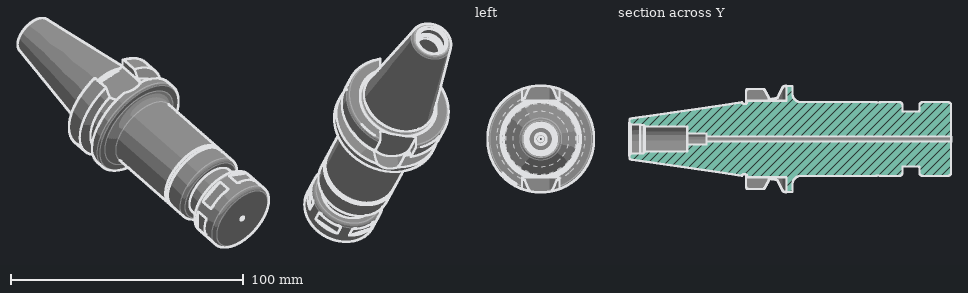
import cadquery as cq
import math

length = 138.4

taper_end_x = 48.5
taper_end_radius = 15.9
taper_slope = 7 / 48
tip_rounding = 1.1
undercut_radius = 15.2
undercut_fillet = 1.0

flange_front_x = 50.1
flange_back_x = 70.3
flange_radius = 23.0
flange_rim_rounding = 0.8
flange_front_rounding = 1.1
face_recess_radius = 17.3
face_recess_depth = 0.5
face_recess_wall_run = 0.4
groove_front_x = 58.0
groove_floor_front_x = 60.3
groove_floor_back_x = 63.7
groove_back_x = 66.0
groove_radius = 19.0
key_slot_width = 16.0
key_slot_floor = 16.5
key_slot_end_x = 67.4

body_diameter = 32.0
body_radius = body_diameter / 2
body_blend = 3.3
body_end_x = 117.5
body_end_rounding = 1.5
ring_front_x = 106.2
ring_back_x = 107.7
ring_depth = 0.3
neck_diameter = 24.0
neck_radius = neck_diameter / 2

nut_front_x = 124.5
nut_radius = body_radius
nut_rounding = 1.5
flat_count = 6
flat_front_x = 126.8
flat_back_x = 132.2
flat_distance = 15.0

bore_mouth_diameter = 14.0
bore_mouth_radius = bore_mouth_diameter / 2
bore_mouth_depth = 0.7
pilot_diameter = 12.5
pilot_radius = pilot_diameter / 2
pilot_depth = 4.7
thread_entry_diameter = 12.0
thread_entry_radius = thread_entry_diameter / 2
thread_entry_depth = 6.1
thread_diameter = 10.5
thread_radius = thread_diameter / 2
thread_depth = 24.9
socket_mouth_diameter = 5.0
socket_mouth_radius = socket_mouth_diameter / 2
socket_diameter = 4.5
socket_radius = socket_diameter / 2
socket_depth = 33.2
coolant_diameter = 2.0
coolant_radius = coolant_diameter / 2


def turned_body():
    """Revolve the whole outside profile about the X axis."""
    sharp_tip_radius = taper_end_radius - taper_slope * taper_end_x
    taper_angle = math.atan(taper_slope)
    tip_setback = tip_rounding * math.tan((math.pi / 2 - taper_angle) / 2)
    taper_start_x = tip_setback * math.cos(taper_angle)
    taper_start_radius = sharp_tip_radius + taper_slope * taper_start_x
    recess_floor_x = flange_front_x + face_recess_depth
    profile = (
        cq.Workplane("XY")
        .moveTo(0, 0)
        .lineTo(0, sharp_tip_radius - tip_setback)
        .radiusArc((taper_start_x, taper_start_radius), tip_rounding)
        .lineTo(taper_end_x, taper_end_radius)
        .lineTo(taper_end_x + taper_end_radius - undercut_radius, undercut_radius)
        .lineTo(recess_floor_x - undercut_fillet, undercut_radius)
        .radiusArc((recess_floor_x, undercut_radius + undercut_fillet), -undercut_fillet)
        .lineTo(recess_floor_x, face_recess_radius - face_recess_wall_run)
        .lineTo(flange_front_x, face_recess_radius)
        .lineTo(flange_front_x, flange_radius - flange_front_rounding)
        .radiusArc((flange_front_x + flange_front_rounding, flange_radius), flange_front_rounding)
        .lineTo(groove_front_x, flange_radius)
        .lineTo(groove_floor_front_x, groove_radius)
        .lineTo(groove_floor_back_x, groove_radius)
        .lineTo(groove_back_x, flange_radius)
        .lineTo(flange_back_x - flange_rim_rounding, flange_radius)
        .radiusArc((flange_back_x, flange_radius - flange_rim_rounding), flange_rim_rounding)
        .lineTo(flange_back_x, body_radius + body_blend)
        .radiusArc((flange_back_x + body_blend, body_radius), -body_blend)
        .lineTo(ring_front_x, body_radius)
        .lineTo(ring_front_x, body_radius - ring_depth)
        .lineTo(ring_back_x, body_radius - ring_depth)
        .lineTo(ring_back_x, body_radius)
        .lineTo(body_end_x - body_end_rounding, body_radius)
        .radiusArc((body_end_x, body_radius - body_end_rounding), body_end_rounding)
        .lineTo(body_end_x, neck_radius)
        .lineTo(nut_front_x, neck_radius)
        .lineTo(nut_front_x, nut_radius - nut_rounding)
        .radiusArc((nut_front_x + nut_rounding, nut_radius), nut_rounding)
        .lineTo(length - nut_rounding, nut_radius)
        .radiusArc((length, nut_radius - nut_rounding), nut_rounding)
        .lineTo(length, 0)
        .close()
    )
    return profile.revolve(360, (0, 0, 0), (1, 0, 0))


def stepped_bore():
    """Coaxial hole that narrows in steps from the small end and runs through the part."""
    profile = (
        cq.Workplane("XY")
        .moveTo(0, 0)
        .lineTo(0, bore_mouth_radius)
        .lineTo(bore_mouth_depth, pilot_radius)
        .lineTo(pilot_depth, pilot_radius)
        .lineTo(pilot_depth + pilot_radius - thread_entry_radius, thread_entry_radius)
        .lineTo(thread_entry_depth, thread_entry_radius)
        .lineTo(thread_entry_depth + thread_entry_radius - thread_radius, thread_radius)
        .lineTo(thread_depth, thread_radius)
        .lineTo(thread_depth, socket_mouth_radius)
        .lineTo(thread_depth + socket_mouth_radius - socket_radius, socket_radius)
        .lineTo(socket_depth, socket_radius)
        .lineTo(socket_depth, coolant_radius)
        .lineTo(length, coolant_radius)
        .lineTo(length, 0)
        .close()
    )
    return profile.revolve(360, (0, 0, 0), (1, 0, 0))


def key_slots():
    """Round-ended driving slots at the top and bottom of the flange."""
    round_radius = key_slot_width / 2
    round_center_x = key_slot_end_x - round_radius
    upper = (
        cq.Workplane("XY", origin=(0, 0, key_slot_floor))
        .moveTo(taper_end_x, -round_radius)
        .lineTo(round_center_x, -round_radius)
        .threePointArc((key_slot_end_x, 0), (round_center_x, round_radius))
        .lineTo(taper_end_x, round_radius)
        .close()
        .extrude(flange_radius)
    )
    return upper.union(upper.mirror("XY"))


def nut_flats():
    """Flat wrench pockets spaced evenly around the nut, the first facing -Y."""
    pocket_length = flat_back_x - flat_front_x
    pocket_height = nut_radius - flat_distance
    chord = 2 * math.sqrt(nut_radius**2 - flat_distance**2)
    first = (
        cq.Workplane("XY")
        .box(pocket_length, pocket_height, chord, centered=(False, False, True))
        .translate((flat_front_x, -nut_radius, 0))
    )
    pockets = first
    for index in range(1, flat_count):
        angle = index * 360 / flat_count
        pockets = pockets.union(first.rotate((0, 0, 0), (1, 0, 0), angle))
    return pockets


result = turned_body().cut(stepped_bore()).cut(key_slots()).cut(nut_flats())